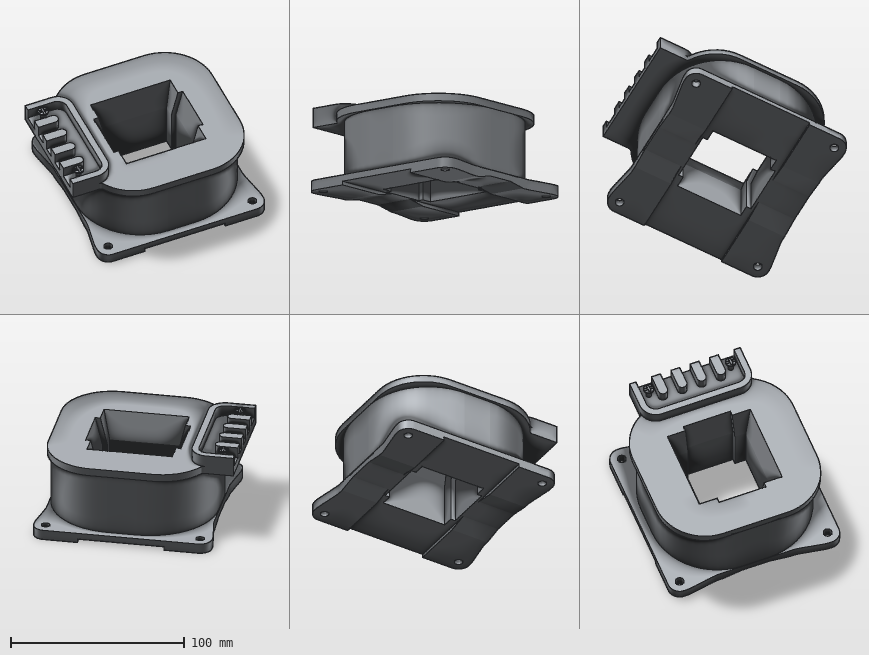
import cadquery as cq
import math

base_thickness = 6.0
winding_height = 36.5
flange_thickness = 4.5
block_rise = 6.9
flange_bottom = base_thickness + winding_height
flange_top = flange_bottom + flange_thickness
block_top = flange_top + block_rise
pocket_floor = flange_top + 0.5

base_length = 106.0
base_width = 105.0
base_corner_radius = 7.0
waist_half_width = 49.3
ear_tip_x = 42.9
ear_root_x = 24.8
ear_blend_radius = 20.0
hole_spacing_x = 92.0
hole_spacing_y = 91.0
mounting_hole_diameter = 5.0
channel_depth = 2.2
channel_width = 50.9
relief_width_top = 17.3
relief_width_bottom = 41.5

winding_length = 97.0
winding_width = 98.1
winding_corner_radius = 40.3
flange_length = 99.8
flange_width = 97.3
flange_corner_radius = 30.0
core_wall = 2.0

mouth_length = 51.5
mouth_width = 50.1
throat_length = 42.6
throat_width = 41.7
throat_top = 30.0
notch_length = 29.0
notch_step = 3.0

overall_depth = 115.2
block_front_y = base_width / 2 - overall_depth
block_back_y = -36.8
block_length = 68.7
block_corner_radius = 9.8
block_wall = 3.9
block_blend_radius = 2.0
rib_count = 4
rib_pitch = 12.0
rib_width = 5.5
rib_length = 13.6

screw_x = 25.5
screw_y = -55.2
shank_diameter = 3.0
shank_clearance = 0.2
head_diameter = 6.0
rim_height = 0.8
dome_height = 0.8
head_slot_width = 1.3
short_slot_length = 4.4


def rounded_plate(length, width, height, radius, bottom):
    """Rectangular plate centred on Z with rounded vertical corners."""
    plate = cq.Workplane("XY").workplane(offset=bottom).rect(length, width).extrude(height)
    return plate.edges("|Z").fillet(radius)


def make_base():
    """Mounting plate with four ears, screw holes and crossing channels underneath."""
    half_length = base_length / 2
    half_width = base_width / 2
    quarter = [
        (ear_root_x, waist_half_width),
        (ear_tip_x, half_width),
        (half_length, half_width),
    ]
    right = quarter + [(x, -y) for x, y in reversed(quarter)]
    left = [(-x, -y) for x, y in right]
    base = cq.Workplane("XY").polyline(right + left).close().extrude(base_thickness)

    corners = base.edges("|Z and (>X or <X)")
    base = corners.fillet(base_corner_radius)
    ear_bends = [(side_x * x, side_y * y)
                 for x, y in quarter[:2] for side_x in (-1, 1) for side_y in (-1, 1)]
    for x, y in ear_bends:
        bend = cq.selectors.NearestToPointSelector((x, y, base_thickness / 2))
        base = base.edges("|Z").edges(bend).fillet(ear_blend_radius)

    holes = (
        cq.Workplane("XY")
        .rect(hole_spacing_x, hole_spacing_y, forConstruction=True)
        .vertices()
        .circle(mounting_hole_diameter / 2)
        .extrude(base_thickness)
    )
    channel = cq.Workplane("XY").rect(base_length, channel_width).extrude(channel_depth)
    relief = (
        cq.Workplane("XZ")
        .moveTo(-relief_width_bottom / 2, 0)
        .lineTo(-relief_width_top / 2, channel_depth)
        .lineTo(relief_width_top / 2, channel_depth)
        .lineTo(relief_width_bottom / 2, 0)
        .close()
        .extrude(base_width / 2, both=True)
    )
    return base.cut(holes).cut(channel).cut(relief)


def make_core(height):
    """Solid rectangular core standing on the base plate, which carries the winding."""
    length = mouth_length + 2 * core_wall
    width = mouth_width + 2 * notch_step + 2 * core_wall
    return cq.Workplane("XY").workplane(offset=base_thickness).rect(length, width).extrude(height)


def block_outline(height, bottom, inset=0.0):
    """Terminal block prism, rounded at the back, inset on three sides and open to the front."""
    half_length = block_length / 2 - inset
    depth = block_back_y - inset - block_front_y
    return (
        cq.Workplane("XY", origin=(0, block_front_y, bottom))
        .rect(2 * half_length, 2 * depth)
        .extrude(height)
        .edges("|Z and >Y")
        .fillet(block_corner_radius - inset)
        .intersect(
            cq.Workplane("XY", origin=(0, block_front_y + depth / 2, bottom))
            .rect(2 * half_length, depth)
            .extrude(height)
        )
    )


def make_flange():
    """Top flange joined to the foot of the terminal block with blended inner corners."""
    centre_y = (winding_width - flange_width) / 2
    flange = rounded_plate(flange_length, flange_width, flange_thickness,
                           flange_corner_radius, flange_bottom)
    flange = flange.translate((0, centre_y, 0))
    flange = flange.union(block_outline(flange_thickness, flange_bottom))
    joint_x = block_length / 2
    arc_x = flange_length / 2 - flange_corner_radius
    arc_y = centre_y - flange_width / 2 + flange_corner_radius
    joint_y = arc_y - math.sqrt(flange_corner_radius ** 2 - (joint_x - arc_x) ** 2)
    for side in (-1, 1):
        joint = cq.selectors.NearestToPointSelector(
            (side * joint_x, joint_y, flange_bottom + flange_thickness / 2))
        flange = flange.edges("|Z").edges(joint).fillet(block_blend_radius)
    return flange


def make_terminal_block():
    """Raised block with a front-opening pocket and round-ended ribs between the terminals."""
    block = block_outline(block_top - flange_bottom, flange_bottom)
    pocket_depth = block_top - pocket_floor
    block = block.cut(block_outline(pocket_depth, pocket_floor, block_wall))
    straight = rib_length - rib_width / 2
    for i in range(rib_count):
        x = (i - (rib_count - 1) / 2) * rib_pitch
        rib = (
            cq.Workplane("XY", origin=(x, block_front_y, pocket_floor))
            .moveTo(-rib_width / 2, 0)
            .lineTo(-rib_width / 2, straight)
            .threePointArc((0, rib_length), (rib_width / 2, straight))
            .lineTo(rib_width / 2, 0)
            .close()
            .extrude(pocket_depth)
        )
        block = block.union(rib)
    return block


def tapered_opening(bottom_length, bottom_width, top_length, top_width):
    """Opening that is straight up to the throat and then widens to the flange top."""
    straight = cq.Workplane("XY").rect(bottom_length, bottom_width).extrude(throat_top)
    taper = (
        cq.Workplane("XY")
        .workplane(offset=throat_top)
        .rect(bottom_length, bottom_width)
        .workplane(offset=flange_top - throat_top)
        .rect(top_length, top_width)
        .loft(ruled=True)
    )
    return straight.union(taper)


def make_bobbin():
    """One-piece bobbin: base plate, core, top flange and terminal block."""
    bobbin = make_base().union(make_core(winding_height)).union(make_flange())
    bobbin = bobbin.union(make_terminal_block())
    opening = tapered_opening(throat_length, throat_width, mouth_length, mouth_width)
    notches = tapered_opening(notch_length, throat_width + 2 * notch_step,
                              notch_length, mouth_width + 2 * notch_step)
    return bobbin.cut(opening).cut(notches)


def make_winding():
    """Winding that fills the space between base plate and flange, around the core."""
    winding = rounded_plate(winding_length, winding_width, winding_height,
                            winding_corner_radius, base_thickness)
    return winding.cut(make_core(winding_height))


def make_screw(x):
    """Terminal screw just clear of the pocket floor, with a domed cross-slotted head."""
    shank_bottom = pocket_floor + shank_clearance
    head_radius = head_diameter / 2
    rim_top = block_top + rim_height
    head_top = rim_top + dome_height
    dome_radius = (head_radius ** 2 + dome_height ** 2) / (2 * dome_height)
    mid_radius = head_radius / 2
    mid_height = head_top - dome_radius + math.sqrt(dome_radius ** 2 - mid_radius ** 2)
    screw = (
        cq.Workplane("XZ")
        .moveTo(0, shank_bottom)
        .lineTo(shank_diameter / 2, shank_bottom)
        .lineTo(shank_diameter / 2, block_top)
        .lineTo(head_radius, block_top)
        .lineTo(head_radius, rim_top)
        .threePointArc((mid_radius, mid_height), (0, head_top))
        .close()
        .revolve(360, (0, 0, 0), (0, 1, 0))
    )
    slot = cq.Workplane("XY").workplane(offset=rim_top)
    slot_x = slot.rect(head_diameter, head_slot_width).extrude(dome_height)
    slot_y = slot.rect(head_slot_width, short_slot_length).extrude(dome_height)
    return screw.cut(slot_x).cut(slot_y).translate((x, screw_y, 0))


bobbin = make_bobbin()
winding = make_winding()
screws = [make_screw(side * screw_x) for side in (-1, 1)]

result = cq.Compound.makeCompound([
    bobbin.val(),
    winding.val(),
    *[screw.val() for screw in screws],
])